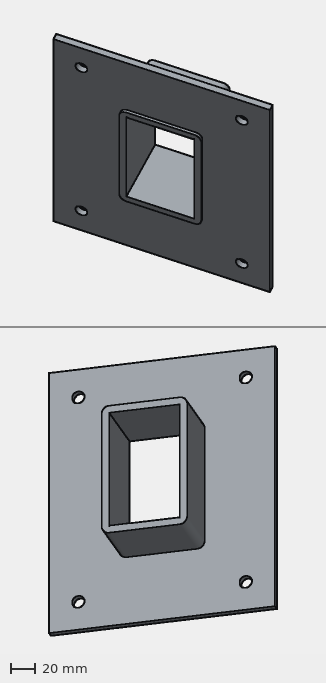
import cadquery as cq

plate_width = 192.5
plate_height = 233.0
plate_thickness = 6.0

hole_diameter = 10.5
hole_spacing_x = 142.5
hole_spacing_z = 183.1

tube_width = 72.7
tube_height = 113.7
tube_length = 60.0
tube_wall = 6.3
tube_corner_radius = 6.3
tube_front_projection = 2.8

bore_width = tube_width - 2 * tube_wall
bore_height = tube_height - 2 * tube_wall


def block(width, height, length, front_y):
    """Box centred on the Y axis, running from front_y toward +Y."""
    return cq.Workplane("XY").box(width, length, height).translate((0, front_y + length / 2, 0))


plate = block(plate_width, plate_height, plate_thickness, 0)
plate = (
    plate.faces("<Y")
    .workplane(origin=(0, 0, 0))
    .rect(hole_spacing_x, hole_spacing_z, forConstruction=True)
    .vertices()
    .hole(hole_diameter)
)

tube = block(tube_width, tube_height, tube_length, -tube_front_projection)
tube = tube.edges("|Y").fillet(tube_corner_radius)
bore = block(bore_width, bore_height, tube_length, -tube_front_projection)

result = plate.union(tube).cut(bore)